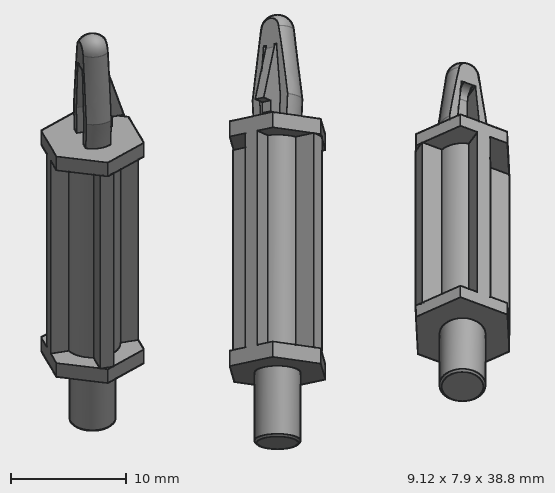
import cadquery as cq
import math

TOTAL_HEIGHT = 38.8
PIN_LENGTH = 6.35
FLANGE_THICKNESS = 1.4
UPPER_FLANGE_TOP = 28.6
SHOULDER_Z = 31.1
DOME_BASE_Z = 37.5
SLOT_TOP_Z = 35.85

PIN_DIAMETER = 4.0
PIN_CHAMFER = 0.2
HEX_ACROSS_FLATS = 7.9
HEX_ACROSS_CORNERS = HEX_ACROSS_FLATS * 2 / math.sqrt(3)
CORE_DIAMETER = 4.85
RIB_THICKNESS = 1.25
RIB_SPAN_X = 8.55

CLIP_BASE_RADIUS = 2.05
SHOULDER_RADIUS = 2.17
DOME_BASE_RADIUS = 1.45
CLIP_THICKNESS = 2.25
SLOT_BASE_WIDTH = 1.95
SLOT_SHOULDER_WIDTH = 2.17
SLOT_TOP_WIDTH = 1.35

BARB_WIDTH = 0.9
BARB_BOTTOM_Z = 29.6
BARB_STEP_Z = 30.57
BARB_STEP_Y = 1.65
BARB_TIP_Y = 2.7
BARB_RAMP_TOP_Z = 35.6
BARB_ROOT_RADIUS = 1.05
CLIP_BACK_Y = CLIP_THICKNESS / 2
BARB_FRONT_Y = BARB_ROOT_RADIUS - CLIP_BACK_Y


def make_pin():
    pin = cq.Workplane("XY").circle(PIN_DIAMETER / 2).extrude(PIN_LENGTH)
    return pin.faces("<Z").chamfer(PIN_CHAMFER)


def make_flange(bottom_z):
    plane = cq.Workplane("XY").workplane(offset=bottom_z)
    return plane.polygon(6, HEX_ACROSS_CORNERS).extrude(FLANGE_THICKNESS)


def make_ribbed_body():
    """Round core with a cross of four ribs, filling the gap between the flanges."""
    bottom_z = PIN_LENGTH + FLANGE_THICKNESS
    height = UPPER_FLANGE_TOP - FLANGE_THICKNESS - bottom_z
    plane = cq.Workplane("XY").workplane(offset=bottom_z)
    core = plane.circle(CORE_DIAMETER / 2).extrude(height)
    rib_x = plane.rect(RIB_SPAN_X, RIB_THICKNESS).extrude(height)
    rib_y = plane.rect(RIB_THICKNESS, HEX_ACROSS_FLATS).extrude(height)
    return core.union(rib_x).union(rib_y)


def make_clip():
    """Domed, tapered round post, flattened front and back and split by a slot."""
    dome_height = TOTAL_HEIGHT - DOME_BASE_Z
    dome_radius = (DOME_BASE_RADIUS**2 + dome_height**2) / (2 * dome_height)
    half_angle = math.asin(DOME_BASE_RADIUS / dome_radius) / 2
    dome_middle = (
        dome_radius * math.sin(half_angle),
        TOTAL_HEIGHT - dome_radius * (1 - math.cos(half_angle)),
    )
    post = (
        cq.Workplane("XZ")
        .moveTo(0, UPPER_FLANGE_TOP)
        .lineTo(CLIP_BASE_RADIUS, UPPER_FLANGE_TOP)
        .lineTo(SHOULDER_RADIUS, SHOULDER_Z)
        .lineTo(DOME_BASE_RADIUS, DOME_BASE_Z)
        .threePointArc(dome_middle, (0, TOTAL_HEIGHT))
        .close()
        .revolve(360, (0, 0), (0, 1))
    )
    flats = (
        cq.Workplane("XY")
        .workplane(offset=UPPER_FLANGE_TOP)
        .rect(2 * SHOULDER_RADIUS, CLIP_THICKNESS)
        .extrude(TOTAL_HEIGHT - UPPER_FLANGE_TOP)
    )
    slot_half_outline = [
        (SLOT_BASE_WIDTH / 2, UPPER_FLANGE_TOP),
        (SLOT_SHOULDER_WIDTH / 2, SHOULDER_Z),
        (SLOT_TOP_WIDTH / 2, SLOT_TOP_Z),
    ]
    mirrored_half = [(-x, z) for x, z in reversed(slot_half_outline)]
    slot = (
        cq.Workplane("XZ")
        .polyline(slot_half_outline + mirrored_half)
        .close()
        .extrude(CLIP_THICKNESS / 2, both=True)
    )
    return post.intersect(flats).cut(slot)


def make_barb():
    """Tongue hanging from the slot top, with a concave root and a stepped hook."""
    arc_middle = (
        BARB_FRONT_Y - BARB_ROOT_RADIUS * (1 - math.sqrt(0.5)),
        SLOT_TOP_Z - BARB_ROOT_RADIUS * (1 - math.sqrt(0.5)),
    )
    return (
        cq.Workplane("YZ")
        .moveTo(BARB_FRONT_Y, BARB_BOTTOM_Z)
        .lineTo(BARB_STEP_Y, BARB_BOTTOM_Z)
        .lineTo(BARB_STEP_Y, BARB_STEP_Z)
        .lineTo(BARB_TIP_Y, BARB_STEP_Z)
        .lineTo(CLIP_BACK_Y, BARB_RAMP_TOP_Z)
        .lineTo(CLIP_BACK_Y, SLOT_TOP_Z)
        .lineTo(BARB_FRONT_Y - BARB_ROOT_RADIUS, SLOT_TOP_Z)
        .threePointArc(arc_middle, (BARB_FRONT_Y, SLOT_TOP_Z - BARB_ROOT_RADIUS))
        .close()
        .extrude(BARB_WIDTH / 2, both=True)
    )


result = make_ribbed_body()
for flange_bottom in (PIN_LENGTH, UPPER_FLANGE_TOP - FLANGE_THICKNESS):
    result = result.union(make_flange(flange_bottom))
result = result.union(make_pin()).union(make_clip()).union(make_barb())